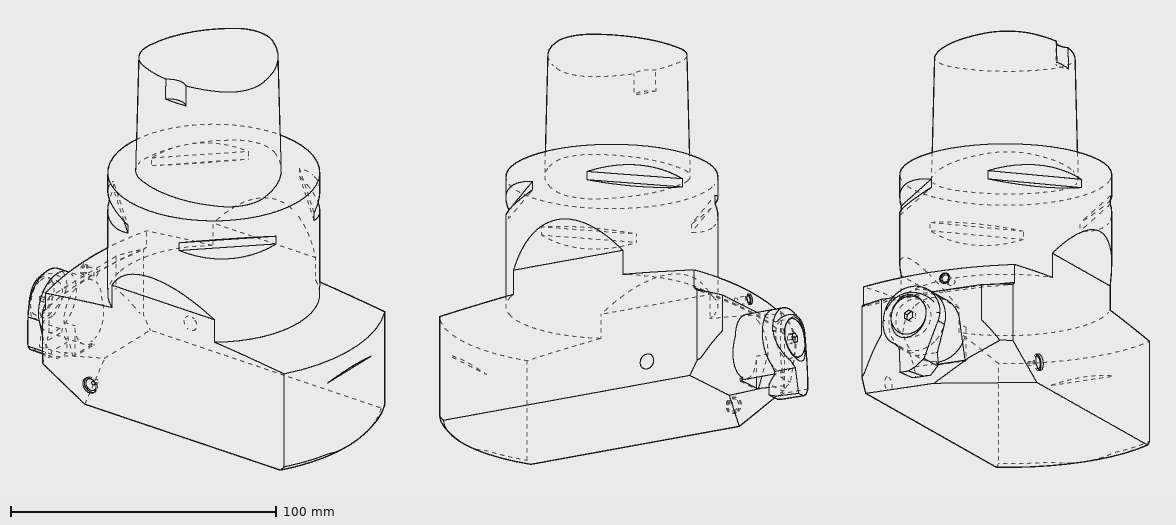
import cadquery as cq
import math


overshoot = 1.5

shank_height = 48.0
shank_taper = 1.2
lobe_tip_radius = 29.5
flank_radius = 25.4
lobe_edge_radius = 27.9
lobe_half_angle = 20.6
lobe_spacing = 120
lobe_angles = (90, 210, 330)
key_radius = 7.0
key_depth = 8.3
key_centre_y = -29.1

collar_diameter = 80.0
collar_radius = collar_diameter / 2
flat_slope_angle = 30
flat_slope_bottom = -41.9

slot_centre_z = -12.0
slot_floor_height = 3.3
slot_floor_distance = 35.5
slot_flank_angle = 30
slot_angles = (45, 135, 225, 315)

block_width = 64.0
block_half_width = block_width / 2
block_radius = 65.0
block_top = -51.4
block_bottom = -96.2
shoulder_slope = 0.14
rim_chamfer_width = 1.5
rim_chamfer_height = 2.0
rear_flat_x = 63.5
rear_flat_top = -64.2
rear_step_height = 2.0
front_flat_x = -61.5

lip_radius = 170.8
lip_front_x = -58.4
lip_bottom = -61.8
lip_ledge = -62.8

upper_chamfer_top = -76.8
chamfer_break_x = -57.5
chamfer_break_z = -89.4
lower_chamfer_x = -53.5
corner_cut_points = [
    cq.Vector(-56.3, -block_half_width, -85.2),
    cq.Vector(-36.8, -block_half_width, block_bottom),
    cq.Vector(-59.0, -27.5, -85.0),
]
corner_cut_size = 89.1
corner_cut_depth = 22.3

bar_diameter = 24.0
bar_radius = bar_diameter / 2
bar_z = -77.0
bar_end_x = -73.4
relief_floor_x = -56.3
relief_bottom = -90.1

plug_radius = 9.5
plug_height = 1.5

cross_x = -34.6
cross_z = -87.6
mouth_diameter = 6.2
mouth_depth = 0.9
cone_diameter = 4.8
cone_depth = 1.5
core_diameter = 1.5
core_depth = 2.2
dome_radius = 3
dome_height = 0.7

nozzle_y = -3.9
nozzle_z = -57.0
nozzle_diameter = 4.0
nozzle_depth = 0.7
jet_diameter = 2.8
jet_depth = 6

head_cone_start_x = -77.8
head_rim_x = -81.2
head_rim_radius = 8.5
face_tip_x = -83.5
face_tilt = 4.5
face_radius = 22.3
tip_z = -100.1
heel_x = -70.4

screw_diameter = 14.8
screw_face_x = -80.5
screw_seat_x = -76.5
socket_sides = 6
socket_diameter = 4.0
socket_depth = 2.2


def polar(radius, degrees):
    angle = math.radians(degrees)
    return (radius * math.cos(angle), radius * math.sin(angle))


def box_between(low, high):
    """Box between two opposite corners."""
    sizes = [b - a for a, b in zip(low, high)]
    return cq.Workplane("XY").box(*sizes, centered=False).translate(low)


def rod_x(diameter, start_x, end_x, y, z):
    """Cylinder along X."""
    return cq.Workplane("YZ", origin=(start_x, y, z)).circle(diameter / 2).extrude(end_x - start_x)


def rod_y(diameter, start_y, depth):
    """Cylinder on the cross-hole axis, going towards +Y."""
    return cq.Workplane("XZ", origin=(cross_x, start_y, cross_z)).circle(diameter / 2).extrude(-depth)


def dome(radius, height):
    """Shallow spherical cap standing on Z = 0."""
    sphere_radius = (radius**2 + height**2) / (2 * height)
    sphere_centre_z = height - sphere_radius
    middle = radius / 2
    middle_z = sphere_centre_z + math.sqrt(sphere_radius**2 - middle**2)
    return (
        cq.Workplane("XZ")
        .lineTo(radius, 0)
        .threePointArc((middle, middle_z), (0, height))
        .close()
        .revolve(360, (0, 0), (0, 1))
    )


def shank_outline(plane, inset):
    """Wire of three lobe arcs and three flank arcs, moved inwards by `inset`."""
    edge = lobe_edge_radius - inset
    outline = plane.moveTo(*polar(edge, lobe_angles[0] - lobe_half_angle))
    for angle in lobe_angles:
        outline = outline.threePointArc(
            polar(lobe_tip_radius - inset, angle), polar(edge, angle + lobe_half_angle)
        )
        outline = outline.threePointArc(
            polar(flank_radius - inset, angle + lobe_spacing / 2),
            polar(edge, angle + lobe_spacing - lobe_half_angle),
        )
    return outline.close()


def make_shank():
    base = shank_outline(cq.Workplane("XY"), 0)
    shank = shank_outline(base.workplane(offset=shank_height), shank_taper).loft(ruled=True)
    key = (
        cq.Workplane("XY", origin=(0, key_centre_y, shank_height - key_depth))
        .circle(key_radius)
        .extrude(key_depth)
    )
    return shank.cut(key)


def make_collar():
    """Round collar, narrowed on two sides and running down inside the block."""
    collar = cq.Workplane("XY").circle(collar_radius).extrude(bar_z)
    slope_rise = (collar_radius - block_half_width) / math.tan(math.radians(flat_slope_angle))
    half_profile = [
        (0, 0),
        (collar_radius, 0),
        (collar_radius, flat_slope_bottom + slope_rise),
        (block_half_width, flat_slope_bottom),
        (block_half_width, block_bottom),
        (0, block_bottom),
    ]
    half = cq.Workplane("YZ").polyline(half_profile).close().extrude(collar_radius, both=True)
    return collar.intersect(half.union(half.mirror("XZ")))


def gripper_slot(angle):
    """Flared slot cut across the collar, facing outwards at `angle`."""
    reach = collar_radius + overshoot - slot_floor_distance
    half_floor = slot_floor_height / 2
    half_mouth = half_floor + reach * math.tan(math.radians(slot_flank_angle))
    outer = slot_floor_distance + reach
    section = [
        (slot_floor_distance, slot_centre_z - half_floor),
        (slot_floor_distance, slot_centre_z + half_floor),
        (outer, slot_centre_z + half_mouth),
        (outer, slot_centre_z - half_mouth),
    ]
    slot = cq.Workplane("XZ").polyline(section).close().extrude(collar_radius, both=True)
    return slot.rotate((0, 0, 0), (0, 0, 1), angle)


def make_block():
    shoulder_fall = shoulder_slope * (block_radius - collar_radius)
    half_section = [
        (0, block_bottom),
        (block_radius - rim_chamfer_width, block_bottom),
        (block_radius, block_bottom + rim_chamfer_height),
        (block_radius, block_top - shoulder_fall),
        (collar_radius, block_top),
        (0, block_top),
    ]
    turned = cq.Workplane("XZ").polyline(half_section).close().revolve(360, (0, 0), (0, 1))
    return turned.intersect(
        box_between(
            (front_flat_x, -block_half_width, block_bottom),
            (block_radius, block_half_width, block_top),
        )
    )


def lip_waste():
    """Material in front of the lip, down to the ledge at its foot."""
    centre_x = lip_front_x + lip_radius
    flare = lip_bottom - lip_ledge
    half_section = [
        (0, lip_ledge),
        (lip_radius + flare, lip_ledge),
        (lip_radius, lip_bottom),
        (lip_radius, block_top),
        (0, block_top),
    ]
    lip = (
        cq.Workplane("XZ")
        .polyline(half_section)
        .close()
        .revolve(360, (0, 0), (0, 1))
        .translate((centre_x, 0, 0))
    )
    front = box_between(
        (-block_radius, -block_half_width, lip_ledge), (-collar_radius, block_half_width, block_top)
    )
    return front.cut(lip)


def side_prism(points):
    """Prism with an XZ outline, reaching across the full width of the block."""
    return cq.Workplane("XZ").polyline(points).close().extrude(block_half_width + overshoot, both=True)


def front_chamfer_waste():
    return side_prism(
        [
            (front_flat_x, upper_chamfer_top),
            (chamfer_break_x, chamfer_break_z),
            (lower_chamfer_x, block_bottom),
            (front_flat_x, block_bottom),
        ]
    )


def rear_flat_waste():
    return side_prism(
        [
            (rear_flat_x, block_bottom),
            (rear_flat_x, rear_flat_top),
            (block_radius, rear_flat_top + rear_step_height),
            (block_radius + overshoot, rear_flat_top + rear_step_height),
            (block_radius + overshoot, block_bottom),
        ]
    )


def corner_waste():
    """Everything beyond the plane through the three corner points."""
    start, along, across = corner_cut_points
    inward = (along - start).cross(across - start)
    plane = cq.Plane(origin=start, xDir=along - start, normal=-inward)
    return cq.Workplane(plane).rect(corner_cut_size, corner_cut_size).extrude(corner_cut_depth)


def relief_waste():
    return box_between((front_flat_x, -bar_radius, relief_bottom), (relief_floor_x, 0, bar_z))


def cross_hole_waste():
    mouth = rod_y(mouth_diameter, -block_half_width, mouth_depth)
    cone_start = mouth_depth - block_half_width
    cone = (
        cq.Workplane("XZ", origin=(cross_x, cone_start, cross_z))
        .circle(cone_diameter / 2)
        .workplane(offset=-cone_depth)
        .circle(core_diameter / 2)
        .loft()
    )
    return mouth.union(cone).union(rod_y(core_diameter, cone_start, cone_depth + core_depth))


def make_housing():
    block = make_block().cut(lip_waste()).cut(front_chamfer_waste()).cut(rear_flat_waste())
    block = block.cut(corner_waste()).cut(relief_waste()).cut(cross_hole_waste())

    nozzle = rod_x(nozzle_diameter, front_flat_x, lip_front_x + nozzle_depth, nozzle_y, nozzle_z)
    jet = rod_x(jet_diameter, front_flat_x, lip_front_x + jet_depth, nozzle_y, nozzle_z)
    block = block.cut(nozzle).cut(jet)

    collar = make_collar()
    for angle in slot_angles:
        collar = collar.cut(gripper_slot(angle))

    bar = rod_x(bar_diameter, bar_end_x, relief_floor_x, 0, bar_z)
    plug = dome(plug_radius, plug_height).rotate((0, 0, 0), (0, 1, 0), 90)
    plug = plug.translate((rear_flat_x, 0, bar_z))
    cross_end = dome(dome_radius, dome_height).rotate((0, 0, 0), (1, 0, 0), -90)
    cross_end = cross_end.translate((cross_x, block_half_width, cross_z))

    housing = make_shank().union(collar).union(block)
    return housing.union(bar).union(plug).union(cross_end)


def head_outline():
    """Round head and its cutting tongue, seen along the bar, as a prism along X."""
    tongue_points = [
        (-11.6, -80.3),
        (-7.3, -95.5),
        (-4.2, -98.6),
        (-1.5, tip_z),
        (2.1, tip_z),
        (3, -90.0),
        (6.2, -87.0),
        (0, bar_z),
    ]
    length = heel_x - face_tip_x + overshoot
    start = cq.Workplane("YZ", origin=(face_tip_x - overshoot, 0, 0))
    tongue = start.polyline(tongue_points).close().extrude(length)
    disc = start.center(0, bar_z).circle(bar_radius).extrude(length)
    return tongue.union(disc)


def head_side():
    """Side profile: flat back, heel behind the tip, open front."""
    front_x = face_tip_x - overshoot
    points = [
        (front_x, bar_z + bar_radius),
        (bar_end_x, bar_z + bar_radius),
        (bar_end_x, -91.0),
        (-70.7, -94.5),
        (heel_x, -98.6),
        (bar_end_x, -99.5),
        (face_tip_x, tip_z),
        (front_x, tip_z),
    ]
    return side_prism(points)


def head_face():
    """Large cylinder whose tilted front is the convex front face of the head."""
    height = 2 * bar_diameter
    return (
        cq.Workplane("XY")
        .circle(face_radius)
        .extrude(height)
        .translate((face_radius, 0, 0))
        .rotate((0, 0, 0), (0, 1, 0), face_tilt)
        .translate((face_tip_x, 0, tip_z))
    )


def head_rim_waste():
    """Material outside the conical front rim, above the bar axis."""
    cone = (
        cq.Workplane("YZ", origin=(head_cone_start_x, 0, bar_z))
        .circle(bar_radius)
        .workplane(offset=head_rim_x - head_cone_start_x)
        .circle(head_rim_radius)
        .loft()
    )
    upper_front = box_between(
        (face_tip_x, -bar_radius, bar_z), (head_cone_start_x, bar_radius, bar_z + bar_radius)
    )
    return upper_front.cut(cone)


def countersink_waste():
    """45 degree opening of the screw seat, from the screw face outwards."""
    depth = screw_face_x - face_tip_x
    return (
        cq.Workplane("YZ", origin=(screw_face_x, 0, bar_z))
        .circle(screw_diameter / 2)
        .workplane(offset=-depth)
        .circle(screw_diameter / 2 + depth)
        .loft()
    )


def make_cutting_head():
    head = head_outline().intersect(head_side()).intersect(head_face()).cut(head_rim_waste())
    seat = rod_x(screw_diameter, face_tip_x, screw_seat_x, 0, bar_z)
    return head.cut(seat).cut(countersink_waste())


def make_screw():
    screw = rod_x(screw_diameter, screw_face_x, screw_seat_x, 0, bar_z)
    socket = (
        cq.Workplane("YZ", origin=(screw_face_x, 0, bar_z))
        .transformed(rotate=(0, 0, 90))
        .polygon(socket_sides, socket_diameter)
        .extrude(socket_depth)
    )
    return screw.cut(socket)


housing = make_housing()
cutting_head = make_cutting_head()
screw = make_screw()

result = cq.Compound.makeCompound([housing.val(), cutting_head.val(), screw.val()])